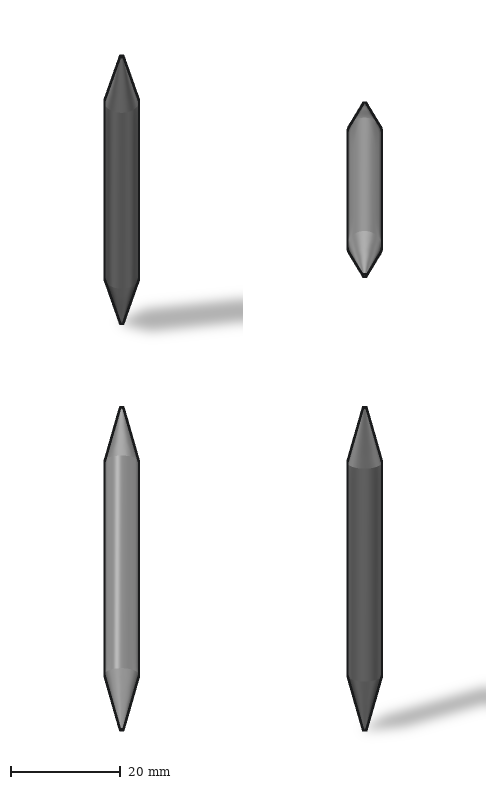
import cadquery as cq

length = 63.5
body_diameter = 6.35
tip_diameter = 0.65
point_length = 10.8

body_radius = body_diameter / 2
tip_radius = tip_diameter / 2
end_z = length / 2
shoulder_z = end_z - point_length

profile = (
    cq.Workplane("XZ")
    .moveTo(0, -end_z)
    .lineTo(tip_radius, -end_z)
    .lineTo(body_radius, -shoulder_z)
    .lineTo(body_radius, shoulder_z)
    .lineTo(tip_radius, end_z)
    .lineTo(0, end_z)
    .close()
)

result = profile.revolve(360, (0, 0, 0), (0, 1, 0))